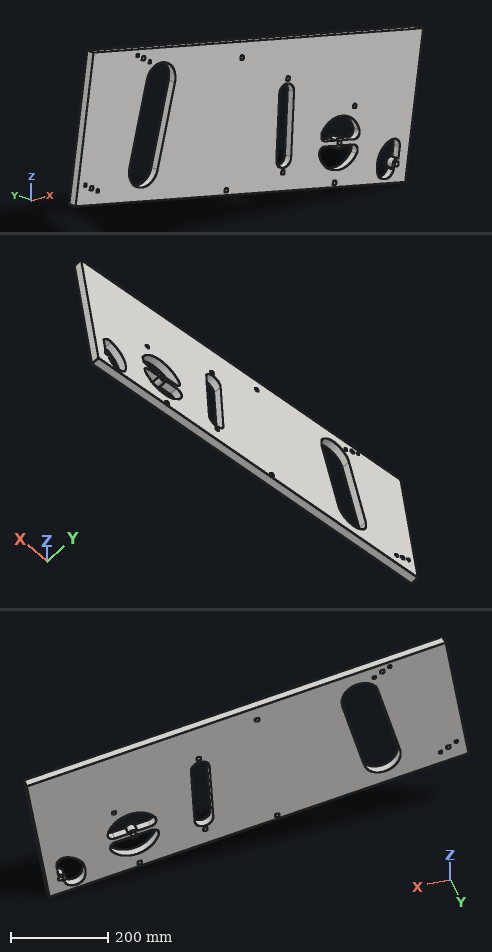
import cadquery as cq
import math

overall_length = 959.0
plate_height = 326.0
plate_thickness = 20.0
tilt_angle = 8.75
tilt = math.radians(tilt_angle)
plate_length = (overall_length - plate_height * math.sin(tilt)) / math.cos(tilt)
cut_depth = 2 * plate_thickness

wide_slot_ends = ((-261.0, 91.0), (-281.0, -93.0))
wide_slot_width = 80.0
narrow_slot_ends = ((97.0, 46.0), (110.0, -93.0))
narrow_slot_width = 40.0

window_center = (262.0, -69.0)
window_radius = 58.0
bar_half_width = 6.0
window_corner_radius = 13.0
boss_radius = 11.5
pivot_hole_radius = 5.3

kidney_center = (430.0, -123.0)
kidney_radius = 57.0
kidney_right = 433.0
kidney_top_radius = 17.0
kidney_lobe_center = (400.0, -130.0)
kidney_lobe_radius = 23.0
kidney_lobe_exit_angle = -10

mount_hole_radius = 5.0
mount_hole_places = (
    (96.0, 77.0), (112.0, -123.0),
    (261.0, -153.0), (-40.0, 128.5), (-41.0, -152.5),
    (-317.0, 143.0), (-421.0, -127.0),
)
small_hole_radius = 3.4
small_hole_places = ((-335.0, 150.0), (-298.0, 134.0), (-439.0, -119.0), (-403.0, -133.0))
guide_hole_place = (292.5, 8.0)
guide_hole_radius = 4.3


def polar(center, radius, degrees):
    """Point on a circle, measured counter-clockwise from the plate's long axis."""
    angle = math.radians(degrees)
    return (center[0] + radius * math.cos(angle), center[1] + radius * math.sin(angle))


def cylinder(place, radius):
    """Round cutter or boss, centred on the plate's mid plane."""
    return cq.Workplane("XZ").center(*place).circle(radius).extrude(cut_depth / 2, both=True)


def slot(ends, width):
    """Round-ended cutter between two arc centres."""
    (x0, z0), (x1, z1) = ends
    length = math.hypot(x1 - x0, z1 - z0) + width
    angle = math.degrees(math.atan2(z1 - z0, x1 - x0))
    middle = ((x0 + x1) / 2, (z0 + z1) / 2)
    return (
        cq.Workplane("XZ").center(*middle).slot2D(length, width, angle)
        .extrude(cut_depth / 2, both=True)
    )


def half_window(side):
    """Circular segment above (side=1) or below (side=-1) the dividing bar."""
    x, z = window_center
    half_chord = math.sqrt(window_radius**2 - bar_half_width**2)
    chord_z = z + side * bar_half_width
    segment = (
        cq.Workplane("XZ").moveTo(x - half_chord, chord_z)
        .threePointArc((x, z + side * window_radius), (x + half_chord, chord_z))
        .close().extrude(cut_depth / 2, both=True)
        .edges("|Y").fillet(window_corner_radius)
    )
    return segment.cut(cylinder(window_center, boss_radius))


def kidney_window():
    """Large arc on the left, round lobe below, straight right side and boss notch."""
    top_z = kidney_center[1] + math.sqrt(kidney_radius**2 - (kidney_right - kidney_center[0])**2)
    touch_angle = math.degrees(math.atan2(
        kidney_lobe_center[1] - kidney_center[1],
        kidney_lobe_center[0] - kidney_center[0],
    )) % 360
    touch = polar(kidney_lobe_center, kidney_lobe_radius, touch_angle)
    lobe_end_angle = 360 + kidney_lobe_exit_angle
    lobe_middle = polar(kidney_lobe_center, kidney_lobe_radius, (touch_angle + lobe_end_angle) / 2)
    lobe_end = polar(kidney_lobe_center, kidney_lobe_radius, lobe_end_angle)
    outline = (
        cq.Workplane("XZ").moveTo(kidney_right, top_z)
        .threePointArc(polar(kidney_center, kidney_radius, 135), touch)
        .threePointArc(lobe_middle, lobe_end)
        .lineTo(kidney_right, kidney_center[1])
        .close().extrude(cut_depth / 2, both=True)
    )
    rounded = outline.edges("|Y").edges(">Z").fillet(kidney_top_radius)
    return rounded.cut(cylinder(kidney_center, boss_radius))


plate = cq.Workplane("XY").box(plate_length, plate_thickness, plate_height)
plate = plate.cut(slot(wide_slot_ends, wide_slot_width))
plate = plate.cut(slot(narrow_slot_ends, narrow_slot_width))
for window_side in (1, -1):
    plate = plate.cut(half_window(window_side))
plate = plate.cut(kidney_window())
for pivot_place in (window_center, kidney_center):
    plate = plate.cut(cylinder(pivot_place, pivot_hole_radius))
for hole_place in mount_hole_places:
    plate = plate.cut(cylinder(hole_place, mount_hole_radius))
for hole_place in small_hole_places:
    plate = plate.cut(cylinder(hole_place, small_hole_radius))
plate = plate.cut(cylinder(guide_hole_place, guide_hole_radius))

result = plate.rotate((0, 0, 0), (0, 1, 0), tilt_angle)